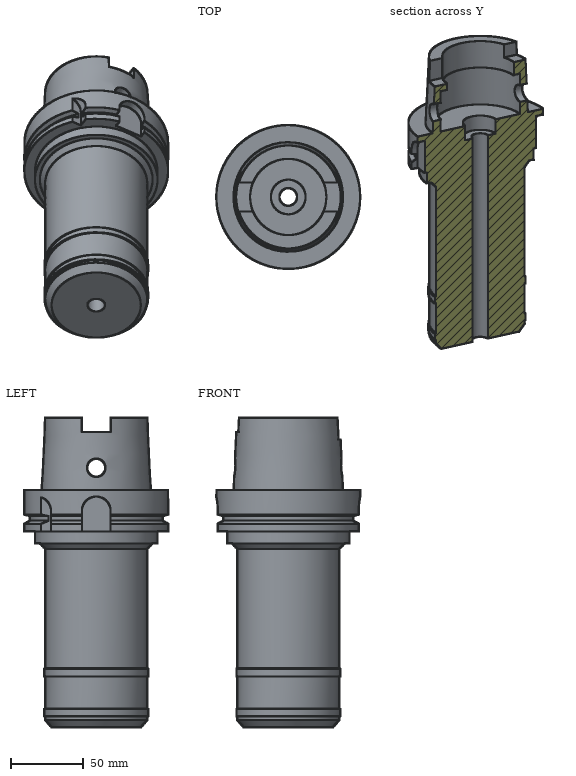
import cadquery as cq
import math

total_height = 215.0
taper_length = 50.0
flange_top = total_height - taper_length

taper_top_radius = 35.7
taper_base_radius = 38.0
mouth_radius = 26.5
mouth_depth = 20.0
recess_radius = 31.4
recess_floor = flange_top
side_hole_radius = 6.2
side_hole_height = total_height - 34.8
drive_slot_width = 20.0
left_drive_slot_depth = 9.9
right_drive_slot_depth = 15.0

through_hole_radius = 6.0
counterbore_radius = 12.0
counterbore_depth = 10.8

flange_diameter = 100.0
flange_radius = flange_diameter / 2
flange_height = 28.8
flange_bottom = flange_top - flange_height
groove_floor_radius = 46.2
groove_upper_edge = flange_top - 17.2
groove_lower_edge = flange_top - 23.6
groove_depth = flange_radius - groove_floor_radius
groove_upper_flank_height = 1.0
groove_lower_flank_height = groove_depth * math.tan(math.radians(30))

key_slot_width = 20.0
key_slot_floor = 44.3
key_slot_apex = flange_top - 4.7
index_slot_inner_edge = 31.4
index_slot_floor = 32.2

collar_radius = 42.5
collar_bottom = flange_bottom - 8.4
cone_top_radius = 39.1
cone_height = 3.9
body_radius = 35.5
end_face_radius = 31.0
end_chamfer_height = 5.2

band_radius = 36.1
band_height = 5.5
band_bevel = 0.5
upper_band_bottom = 35.5
lower_band_bottom = 7.5


def revolve_profile(points):
    return cq.Workplane("XZ").polyline(points).close().revolve(360, (0, 0, 0), (0, 1, 0))


def make_blank():
    cone_bottom = collar_bottom - cone_height
    return revolve_profile([
        (0, 0),
        (end_face_radius, 0),
        (body_radius, end_chamfer_height),
        (body_radius, cone_bottom),
        (cone_top_radius, collar_bottom),
        (collar_radius, collar_bottom),
        (collar_radius, flange_bottom),
        (flange_radius, flange_bottom),
        (flange_radius, groove_lower_edge),
        (groove_floor_radius, groove_lower_edge + groove_lower_flank_height),
        (groove_floor_radius, groove_upper_edge - groove_upper_flank_height),
        (flange_radius, groove_upper_edge),
        (flange_radius, flange_top),
        (taper_base_radius, flange_top),
        (taper_top_radius, total_height),
        (0, total_height),
    ])


def make_band(bottom, bevel_underside):
    """Raised band, bevelled on top and, where wanted, underneath."""
    top = bottom + band_height
    band = revolve_profile([
        (0, bottom),
        (band_radius, bottom),
        (band_radius, top - band_bevel),
        (band_radius - band_bevel, top),
        (0, top),
    ])
    if bevel_underside:
        band = band.faces("<Z").chamfer(band_bevel)
    return band


def make_bore():
    mouth_bottom = total_height - mouth_depth
    counterbore_floor = recess_floor - counterbore_depth
    return revolve_profile([
        (0, 0),
        (through_hole_radius, 0),
        (through_hole_radius, counterbore_floor),
        (counterbore_radius, counterbore_floor),
        (counterbore_radius, recess_floor),
        (recess_radius, recess_floor),
        (recess_radius, mouth_bottom),
        (mouth_radius, mouth_bottom),
        (mouth_radius, total_height),
        (0, total_height),
    ])


def make_drive_slot(side, depth):
    """Slot across the taper rim; side is -1 for -X and +1 for +X."""
    length = flange_radius
    return cq.Workplane("XY").box(length, drive_slot_width, depth).translate(
        (side * length / 2, 0, total_height - depth / 2)
    )


def make_side_hole():
    return (
        cq.Workplane("YZ")
        .center(0, side_hole_height)
        .circle(side_hole_radius)
        .extrude(flange_radius, both=True)
    )


def make_key_slot(side, floor, center_y):
    """Round-topped slot cut along X from outside the flange in to its floor."""
    half_width = key_slot_width / 2
    arc_start = key_slot_apex - half_width
    return (
        cq.Workplane("YZ", origin=(side * floor, 0, 0))
        .moveTo(center_y - half_width, flange_bottom)
        .lineTo(center_y - half_width, arc_start)
        .threePointArc((center_y, key_slot_apex), (center_y + half_width, arc_start))
        .lineTo(center_y + half_width, flange_bottom)
        .close()
        .extrude(side * flange_radius)
    )


result = make_blank()
result = result.union(make_band(upper_band_bottom, False))
result = result.union(make_band(lower_band_bottom, True))
result = result.cut(make_bore())
result = result.cut(make_side_hole())
result = result.cut(make_drive_slot(-1, left_drive_slot_depth))
result = result.cut(make_drive_slot(1, right_drive_slot_depth))
for slot_side in (-1, 1):
    result = result.cut(make_key_slot(slot_side, key_slot_floor, 0))
index_slot_center = index_slot_inner_edge + key_slot_width / 2
result = result.cut(make_key_slot(-1, index_slot_floor, index_slot_center))